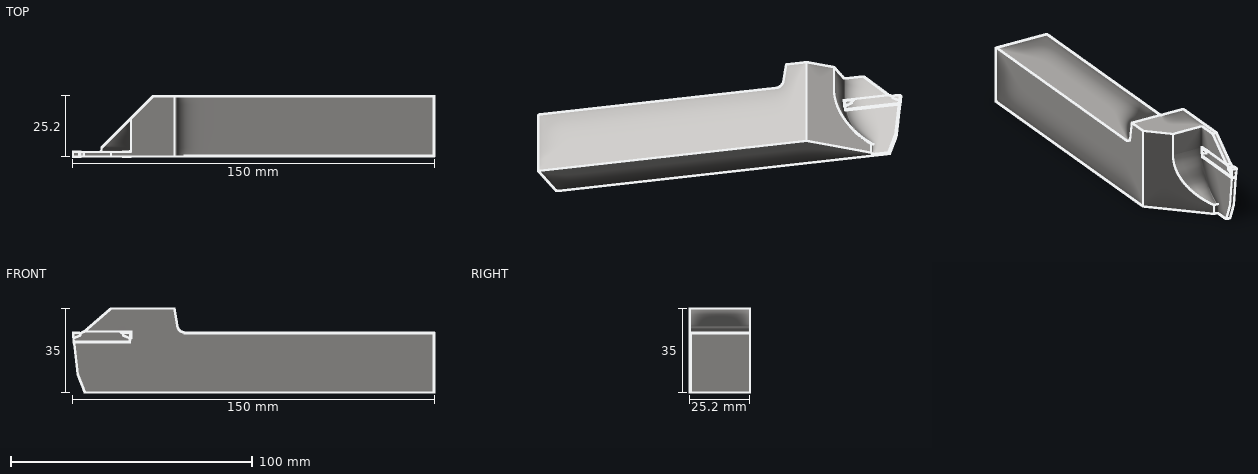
import cadquery as cq
import math

LENGTH = 150.0
SHANK = 25.0
HEAD_TOP = 35.0
HEAD_BACK_X = 42.2
HEAD_BACK_FOOT_X = 43.8
HEAD_BACK_RADIUS = 3.0
EDGE_CHAMFER = 0.5

BLADE_THICKNESS = 2.0
BLADE_FRONT_X = 0.5
BLADE_KNEE = (2.0, 7.6)
BLADE_TOE_X = 5.0
BLADE_CROWN_X = 15.8

NOSE_X = 11.8
NOSE_Y = 3.8
POCKET_WALL_X = 24.2
POCKET_RADIUS = 24.0
POCKET_FILLET = 0.8
MARGIN = 7.5

SEAT_FLOOR_Z = 20.8
SEAT_ROOF_Z = 25.4
SEAT_MOUTH_X = 4.6
SEAT_FLOOR_END_X = 23.7
SEAT_STEP_Z = 22.6
SEAT_END_X = 24.3

INSERT_LENGTH = 23.8
INSERT_RELIEF = 0.3
CUTTING_EDGE_Z = 24.9
RAKE_LENGTH = 2.5
VALLEY_X = 3.2
VALLEY_Z = 24.6
RISE_X = 4.4
TIP_FOOT_Z = 22.5
TIP_INNER_Z = 23.8
TIP_OVERHANG = 0.2
BOTTOM_CHAMFER = 0.5


def extrude_y(profile, y_start, y_end):
    """Extrude a closed XZ profile from y_start to y_end."""
    return profile.extrude(y_start - y_end).translate((0, y_start, 0))


def make_envelope():
    profile = (
        cq.Workplane("XZ")
        .moveTo(BLADE_TOE_X, 0)
        .lineTo(LENGTH, 0)
        .lineTo(LENGTH, SHANK)
        .lineTo(HEAD_BACK_FOOT_X, SHANK)
        .lineTo(HEAD_BACK_X, HEAD_TOP)
        .lineTo(BLADE_CROWN_X, HEAD_TOP)
        .lineTo(SEAT_MOUTH_X, SEAT_ROOF_Z)
        .lineTo(BLADE_FRONT_X, SEAT_FLOOR_Z)
        .lineTo(*BLADE_KNEE)
        .close()
    )
    envelope = extrude_y(profile, 0, SHANK)
    end_front = cq.selectors.NearestToPointSelector((LENGTH, 0, SHANK / 2))
    end_top = cq.selectors.NearestToPointSelector((LENGTH, SHANK / 2, SHANK))
    envelope = envelope.edges(cq.selectors.SumSelector(end_front, end_top)).chamfer(EDGE_CHAMFER)
    rear_foot = cq.selectors.NearestToPointSelector((HEAD_BACK_FOOT_X, SHANK / 2, SHANK))
    return envelope.edges(rear_foot).fillet(HEAD_BACK_RADIUS)


def make_shank_chamfer_cutter():
    """Chamfers the upper front edge of the shank, from the rounded foot of the head to the end."""
    slope_angle = math.atan2(HEAD_TOP - SHANK, HEAD_BACK_FOOT_X - HEAD_BACK_X)
    start_x = HEAD_BACK_FOOT_X + HEAD_BACK_RADIUS * math.tan(slope_angle / 2)
    return (
        cq.Workplane("YZ")
        .workplane(offset=start_x)
        .moveTo(0, SHANK - EDGE_CHAMFER)
        .lineTo(EDGE_CHAMFER, SHANK)
        .lineTo(0, SHANK)
        .close()
        .extrude(LENGTH - start_x)
    )


def make_flank_cutter():
    """Wedge that leaves the 45 degree flank."""
    run = SHANK + MARGIN - NOSE_Y
    return (
        cq.Workplane("XY")
        .workplane(offset=-MARGIN)
        .moveTo(NOSE_X, NOSE_Y)
        .lineTo(NOSE_X + run, NOSE_Y + run)
        .lineTo(-MARGIN, NOSE_Y + run)
        .lineTo(-MARGIN, NOSE_Y)
        .close()
        .extrude(HEAD_TOP + 2 * MARGIN)
    )


def make_nose_cutter():
    """Clears the space in front of the flat nose, rounded where the nose meets the blade."""
    length = NOSE_X + MARGIN
    width = SHANK + MARGIN - BLADE_THICKNESS
    height = HEAD_TOP + 2 * MARGIN
    cutter = cq.Workplane("XY").box(length, width, height, centered=False)
    cutter = cutter.translate((-MARGIN, BLADE_THICKNESS, -MARGIN))
    return cutter.edges(">X and <Y").fillet(POCKET_FILLET)


def make_pocket_cutter():
    """Clears the space behind the blade, with a round wall leading up to a straight one."""
    centre_x = POCKET_WALL_X - POCKET_RADIUS
    centre_z = SHANK
    diagonal = POCKET_RADIUS * math.sqrt(0.5)
    profile = (
        cq.Workplane("XZ")
        .moveTo(centre_x, centre_z - POCKET_RADIUS)
        .threePointArc((centre_x + diagonal, centre_z - diagonal), (POCKET_WALL_X, centre_z))
        .lineTo(POCKET_WALL_X, HEAD_TOP + MARGIN)
        .lineTo(centre_x, HEAD_TOP + MARGIN)
        .close()
    )
    cutter = extrude_y(profile, BLADE_THICKNESS, SHANK + MARGIN)
    wall_foot = cq.selectors.NearestToPointSelector((POCKET_WALL_X, BLADE_THICKNESS, HEAD_TOP))
    return cutter.edges(wall_foot).fillet(POCKET_FILLET)


def make_seat_cutter():
    profile = cq.Workplane("XZ").polyline([
        (-MARGIN, SEAT_FLOOR_Z),
        (SEAT_FLOOR_END_X, SEAT_FLOOR_Z),
        (SEAT_FLOOR_END_X, SEAT_STEP_Z),
        (SEAT_END_X, SEAT_STEP_Z),
        (SEAT_END_X, SEAT_ROOF_Z),
        (-MARGIN, SEAT_ROOF_Z),
    ]).close()
    return extrude_y(profile, -MARGIN, BLADE_THICKNESS + TIP_OVERHANG)


def make_holder():
    holder = make_envelope()
    holder = holder.cut(make_shank_chamfer_cutter())
    holder = holder.cut(make_flank_cutter())
    holder = holder.cut(make_nose_cutter())
    holder = holder.cut(make_pocket_cutter())
    holder = holder.cut(make_seat_cutter())
    return holder


def make_insert():
    half = [
        (INSERT_RELIEF, SEAT_FLOOR_Z),
        (0, CUTTING_EDGE_Z),
        (RAKE_LENGTH, CUTTING_EDGE_Z),
        (VALLEY_X, VALLEY_Z),
        (RISE_X, SEAT_ROOF_Z),
    ]
    mirrored = [(INSERT_LENGTH - x, z) for x, z in reversed(half)]
    bar = extrude_y(cq.Workplane("XZ").polyline(half + mirrored).close(), 0, BLADE_THICKNESS)
    bar = bar.faces("<Z").edges("|X").chamfer(BOTTOM_CHAMFER)

    foot_share = (CUTTING_EDGE_Z - TIP_FOOT_Z) / (CUTTING_EDGE_Z - SEAT_FLOOR_Z)
    tip = [
        (INSERT_RELIEF * foot_share, TIP_FOOT_Z),
        (0, CUTTING_EDGE_Z),
        (RAKE_LENGTH, CUTTING_EDGE_Z),
        (VALLEY_X, VALLEY_Z),
        (VALLEY_X, TIP_INNER_Z),
    ]
    tip_back = [(INSERT_LENGTH - x, z) for x, z in tip]
    for outline in (tip, tip_back):
        profile = cq.Workplane("XZ").polyline(outline).close()
        bar = bar.union(extrude_y(profile, -TIP_OVERHANG, BLADE_THICKNESS + TIP_OVERHANG))
    return bar


holder = make_holder()
insert = make_insert()
result = cq.Compound.makeCompound([holder.val(), insert.val()])